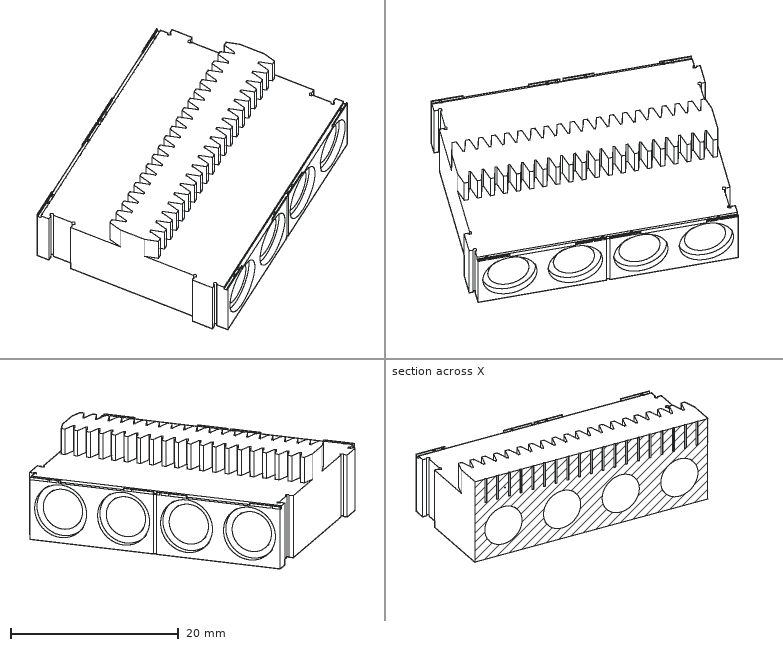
import cadquery as cq

BODY_WIDTH = 25.4
BODY_LENGTH = 31.8
BODY_HEIGHT = 7.8
TOTAL_HEIGHT = 11.0

HOLE_COUNT = 4
HOLE_PITCH = 8.0
HOLE_DIAMETER = 5.0
HOLE_HEIGHT = 4.0
COUNTERBORE_DIAMETER = 6.6
COUNTERBORE_DEPTH = 0.8

JOINT_OFFSET = 9.67
TAB_WIDTH = 2.7
TAB_LENGTH = 0.7
SOCKET_WIDTH = 2.9
SOCKET_DEPTH = 0.75
RELIEF_RADIUS = 0.2

SCORE_RADIUS = 0.2

GROOVE_WIDTH = 0.5
GROOVE_DEPTH = 0.33
LIP_THICKNESS = 0.1

RIB_THICKNESS = 0.2
RIB_TOP_CLEARANCE = 0.06
RIB_HEIGHT = GROOVE_DEPTH - RIB_TOP_CLEARANCE
RIB_PITCH = 4.72
RIB_ROWS = ((-13.55, 7), (-12.38, 6))

TOOTH_PITCH = 1.6
TIP_HALF_WIDTH = 3.23
ROOT_HALF_WIDTH = 1.62
TIP_FLAT = 0.5
ROOT_FLAT = 0.2


def upright_cylinder(x, y, radius):
    """Full-height cylinder used for corner reliefs and score lines."""
    return cq.Workplane("XY").center(x, y).circle(radius).extrude(BODY_HEIGHT)


def upright_box(x, y, width, length):
    """Full-height box centred on (x, y)."""
    return cq.Workplane("XY").center(x, y).rect(width, length).extrude(BODY_HEIGHT)


def add_end_joints(body, end):
    """Add the tab and cut the socket on the +Y (end=1) or -Y (end=-1) face."""
    face_y = end * BODY_LENGTH / 2
    tab_x = -end * JOINT_OFFSET
    socket_x = end * JOINT_OFFSET
    socket_floor_y = face_y - end * SOCKET_DEPTH
    body = body.union(upright_box(tab_x, face_y, TAB_WIDTH, 2 * TAB_LENGTH))
    body = body.cut(upright_box(socket_x, face_y, SOCKET_WIDTH, 2 * SOCKET_DEPTH))
    for side in (-1, 1):
        tab_side_x = tab_x + side * TAB_WIDTH / 2
        socket_side_x = socket_x + side * SOCKET_WIDTH / 2
        body = body.cut(upright_cylinder(tab_side_x, face_y, RELIEF_RADIUS))
        body = body.cut(upright_cylinder(socket_side_x, socket_floor_y, RELIEF_RADIUS))
    return body


def cross_holes():
    """Counterbored through holes along X."""
    first_y = -HOLE_PITCH * (HOLE_COUNT - 1) / 2
    centres = [(first_y + i * HOLE_PITCH, HOLE_HEIGHT) for i in range(HOLE_COUNT)]

    def cylinders(start_x, diameter, length):
        plane = cq.Workplane("YZ", origin=(start_x, 0, 0))
        return plane.pushPoints(centres).circle(diameter / 2).extrude(length)

    tools = cylinders(-BODY_WIDTH / 2, HOLE_DIAMETER, BODY_WIDTH)
    tools = tools.union(cylinders(-BODY_WIDTH / 2, COUNTERBORE_DIAMETER, COUNTERBORE_DEPTH))
    far_start = BODY_WIDTH / 2 - COUNTERBORE_DEPTH
    return tools.union(cylinders(far_start, COUNTERBORE_DIAMETER, COUNTERBORE_DEPTH))


def groove_ribs(groove_x, groove_width):
    """Ribs left standing across one edge groove."""
    centres = [(0, start + i * RIB_PITCH) for start, count in RIB_ROWS for i in range(count)]
    return (
        cq.Workplane("XY", origin=(groove_x, 0, BODY_HEIGHT - GROOVE_DEPTH))
        .pushPoints(centres)
        .rect(groove_width, RIB_THICKNESS)
        .extrude(RIB_HEIGHT)
    )


def edge_cuts(side):
    """Ribbed groove behind the lip, and the two lip gaps, on one side (+1 or -1)."""
    groove_width = GROOVE_WIDTH - LIP_THICKNESS
    groove_x = side * (BODY_WIDTH / 2 - LIP_THICKNESS - groove_width / 2)
    groove = (
        cq.Workplane("XY", origin=(groove_x, 0, BODY_HEIGHT - GROOVE_DEPTH))
        .rect(groove_width, BODY_LENGTH)
        .extrude(GROOVE_DEPTH)
    )
    gap_x = side * (BODY_WIDTH - GROOVE_WIDTH) / 2
    gaps = (
        cq.Workplane("XY", origin=(gap_x, 0, BODY_HEIGHT - GROOVE_DEPTH))
        .pushPoints([(0, -HOLE_PITCH), (0, HOLE_PITCH)])
        .rect(GROOVE_WIDTH, HOLE_PITCH)
        .extrude(GROOVE_DEPTH)
    )
    return groove.cut(groove_ribs(groove_x, groove_width)).union(gaps)


def rack():
    """Double-sided rack, trimmed flush with the ends of the body."""
    half_tip = TIP_FLAT / 2
    half_root = ROOT_FLAT / 2
    spaces = int(BODY_LENGTH / TOOTH_PITCH / 2) + 1
    edge = []
    for i in range(-spaces, spaces):
        root_y = i * TOOTH_PITCH
        tip_y = root_y + TOOTH_PITCH / 2
        edge.append((ROOT_HALF_WIDTH, root_y + half_root))
        edge.append((TIP_HALF_WIDTH, tip_y - half_tip))
        edge.append((TIP_HALF_WIDTH, tip_y + half_tip))
        edge.append((ROOT_HALF_WIDTH, root_y + TOOTH_PITCH - half_root))
    mirrored = [(-x, y) for x, y in reversed(edge)]
    rack_height = TOTAL_HEIGHT - BODY_HEIGHT
    top_plane = cq.Workplane("XY", origin=(0, 0, BODY_HEIGHT))
    toothed_bar = top_plane.polyline(edge + mirrored).close().extrude(rack_height)
    bounds = top_plane.rect(BODY_WIDTH, BODY_LENGTH).extrude(rack_height)
    return toothed_bar.intersect(bounds)


body = upright_box(0, 0, BODY_WIDTH, BODY_LENGTH)
for end in (-1, 1):
    body = add_end_joints(body, end)
body = body.cut(cross_holes())
for side in (-1, 1):
    body = body.cut(edge_cuts(side))
    body = body.cut(upright_cylinder(side * BODY_WIDTH / 2, 0, SCORE_RADIUS))

result = body.union(rack())